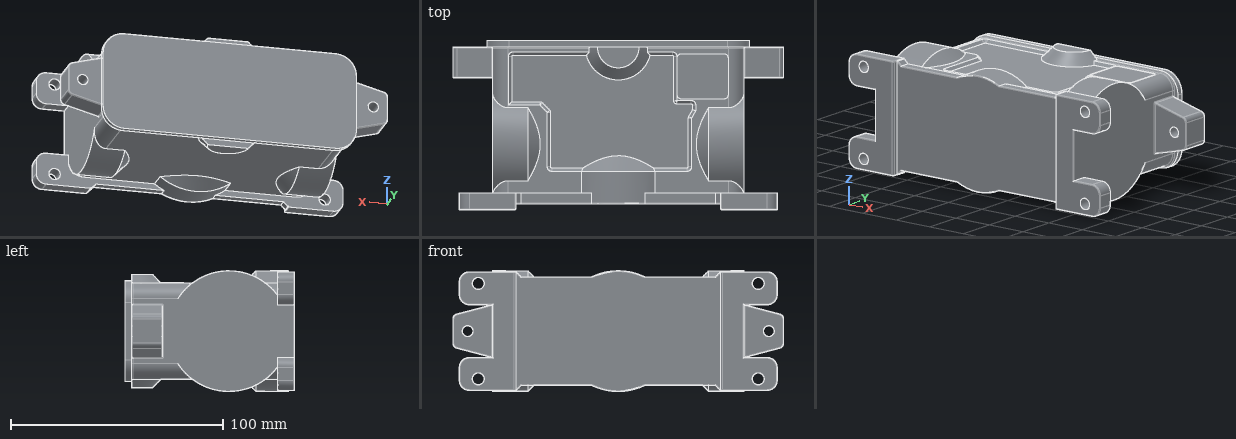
import cadquery as cq

FOOT_Y = -40.0
PLATE_Y = -37.2
BASE_TOP_Y = -32.0
FLANGE_BOTTOM_Y = 36.8
FLANGE_TOP_Y = 40.0

BODY_HALF_X = 59.3
BODY_HALF_Z = 22.7
BODY_CORNER_R = 7.4

FLANGE_HALF_X = 61.9
FLANGE_HALF_Z = 23.8
FLANGE_CORNER_R = 10.3
FLANGE_ROOT_R = 0.7

ENTRY_R = 28.5
ENTRY_CHAMFER = 7.5
SIDE_ENTRY_Y = -9.0
SIDE_ENTRY_INNER_X = 42.6
BASE_ENTRY_TOP_Y = -21.8

PLATE_HALF_X = 48.2
PLATE_HALF_Z = 25.6
BASE_EDGE_R = 0.4

FOOT_HALF_X = 75.0
FOOT_HALF_Z = 28.0
FOOT_SLOT_HALF_Z = 12.4
FOOT_CORNER_R = 4.8
FOOT_HOLE_D = 5.5
FOOT_HOLE_X = 66.0
FOOT_HOLE_Z = 22.5
FOOT_STEP_R = 0.9

LUG_HALF_X = 78.0
LUG_BOTTOM_Y = 22.3
LUG_ROOT_HALF_Z = 12.5
LUG_ROOT_R = 0.5
LUG_TIP_HALF_Z = 7.6
LUG_TIP_R = 2.5
LUG_EDGE_R = 0.4
LUG_HOLE_D = 5.0
LUG_HOLE_X = 71.0

BOSS_TOP_R = 9.8
BOSS_TOP_Z = 26.8
BOSS_Y = FLANGE_BOTTOM_Y

PANEL_DEPTH = 1.6
PANEL_WALL_ANGLE = 45
PANEL_CORNER_R = 2.2
PANEL_LEFT_X = -51.8
PANEL_STEP_LEFT_X = -33.5
PANEL_STEP_LEFT_Y = 9.4
PANEL_STEP_CHAMFER = 3.4
PANEL_BOTTOM_Y = BASE_ENTRY_TOP_Y
PANEL_TOP_Y = 34.5
PANEL_RIGHT_X = 27.7
PANEL_LOWER_RIGHT_X = 34.6
PANEL_JOG_X = 36.6
PANEL_JOG_TOP_Y = 11.6
PANEL_JOG_LOW_Y = 6.8
PANEL_JOG_END_Y = 3.3

PAD_LEFT_X = PANEL_RIGHT_X
PAD_RIGHT_X = 51.9
PAD_BOTTOM_Y = 12.4
PAD_TOP_Y = 33.6
PAD_HEIGHT = 0.2
PAD_CORNER_R = 2.0


def plan(y):
    """Sketch plane at height y whose local axes are X and Z, extruding toward +Y."""
    return cq.Workplane(cq.Plane(origin=(0, y, 0), xDir=(1, 0, 0), normal=(0, 1, 0)))


def block(half_x, half_z, y_low, y_high):
    """Block centred on the Y axis between two levels."""
    return plan(y_low).rect(2 * half_x, 2 * half_z).extrude(y_high - y_low)


def both_ends(shape):
    """The shape together with its mirror image at the -X end."""
    return shape.union(shape.mirror("YZ"))


def make_body():
    body = block(BODY_HALF_X, BODY_HALF_Z, BASE_TOP_Y, FLANGE_BOTTOM_Y)
    body = body.edges("|Y").fillet(BODY_CORNER_R)
    flange = block(FLANGE_HALF_X, FLANGE_HALF_Z, FLANGE_BOTTOM_Y, FLANGE_TOP_Y)
    flange = flange.edges("|Y").fillet(FLANGE_CORNER_R)
    root_edge = cq.selectors.NearestToPointSelector((0, FLANGE_BOTTOM_Y, BODY_HALF_Z))
    return body.union(flange).edges(root_edge).fillet(FLANGE_ROOT_R)


def make_side_entries():
    """Discs with X axes that fill the body ends and finish in a cone, trimmed above the base."""
    depth = BODY_HALF_X - SIDE_ENTRY_INNER_X + ENTRY_CHAMFER
    disc = (
        cq.Workplane("YZ", origin=(BODY_HALF_X - depth, SIDE_ENTRY_Y, 0))
        .circle(ENTRY_R)
        .extrude(depth)
        .faces("<X")
        .chamfer(ENTRY_CHAMFER)
    )
    above_base = block(BODY_HALF_X, ENTRY_R, BASE_TOP_Y, FLANGE_BOTTOM_Y)
    return both_ends(disc.intersect(above_base))


def make_base_entry():
    """Cylinder along Y rising from the base plate and finishing in a cone."""
    height = BASE_ENTRY_TOP_Y - PLATE_Y + ENTRY_CHAMFER
    entry = plan(PLATE_Y).circle(ENTRY_R).extrude(height).faces(">Y").chamfer(ENTRY_CHAMFER)
    return entry.faces("<Y").edges().fillet(BASE_EDGE_R)


def make_base():
    """Base plate whose ends flare at 45 degrees to the width of the feet."""
    flare_x = PLATE_HALF_X - (FOOT_HALF_Z - PLATE_HALF_Z)
    outline = [
        (PLATE_HALF_X, FOOT_HALF_Z),
        (flare_x, PLATE_HALF_Z),
        (-flare_x, PLATE_HALF_Z),
        (-PLATE_HALF_X, FOOT_HALF_Z),
        (-PLATE_HALF_X, -FOOT_HALF_Z),
        (-flare_x, -PLATE_HALF_Z),
        (flare_x, -PLATE_HALF_Z),
        (PLATE_HALF_X, -FOOT_HALF_Z),
    ]
    plate = plan(PLATE_Y).polyline(outline).close().extrude(BASE_TOP_Y - PLATE_Y)
    return plate.faces("<Y").edges("not |Z").fillet(BASE_EDGE_R)


def make_foot_pair():
    """C-shaped foot block at the +X end: two drilled ears around an open slot."""
    foot_height = BASE_TOP_Y - FOOT_Y
    foot = (
        plan(FOOT_Y)
        .center((PLATE_HALF_X + FOOT_HALF_X) / 2, 0)
        .rect(FOOT_HALF_X - PLATE_HALF_X, 2 * FOOT_HALF_Z)
        .extrude(foot_height)
    )
    slot = (
        plan(FOOT_Y)
        .center((BODY_HALF_X + FOOT_HALF_X) / 2, 0)
        .rect(FOOT_HALF_X - BODY_HALF_X, 2 * FOOT_SLOT_HALF_Z)
        .extrude(foot_height)
    )
    foot = foot.cut(slot).edges("|Y and >X").fillet(FOOT_CORNER_R)
    foot = foot.faces("<Y").edges("<X").fillet(FOOT_STEP_R)
    foot = foot.faces("<Y").edges("not <X").fillet(BASE_EDGE_R)
    holes = (
        plan(FOOT_Y)
        .pushPoints([(FOOT_HOLE_X, FOOT_HOLE_Z), (FOOT_HOLE_X, -FOOT_HOLE_Z)])
        .circle(FOOT_HOLE_D / 2)
        .extrude(foot_height)
    )
    return foot.cut(holes)


def make_lug():
    """Tapered, drilled lug at the +X end, just below the flange."""
    height = FLANGE_BOTTOM_Y - LUG_BOTTOM_Y
    lug = (
        plan(LUG_BOTTOM_Y)
        .moveTo(BODY_HALF_X, LUG_ROOT_HALF_Z)
        .lineTo(LUG_HALF_X, LUG_TIP_HALF_Z)
        .lineTo(LUG_HALF_X, -LUG_TIP_HALF_Z)
        .lineTo(BODY_HALF_X, -LUG_ROOT_HALF_Z)
        .close()
        .extrude(height)
        .edges("|Y and >X")
        .fillet(LUG_TIP_R)
    )
    lug = lug.faces("<Y or >Y").edges("not <X").fillet(LUG_EDGE_R)
    slice_half_z = LUG_ROOT_HALF_Z + 2 * LUG_ROOT_R
    body_slice = (
        plan(LUG_BOTTOM_Y - 2 * LUG_ROOT_R)
        .center(BODY_HALF_X - LUG_ROOT_R, 0)
        .rect(2 * LUG_ROOT_R, 2 * slice_half_z)
        .extrude(height + 4 * LUG_ROOT_R)
    )
    root_edges = cq.selectors.BoxSelector(
        (BODY_HALF_X - LUG_ROOT_R / 2, LUG_BOTTOM_Y - LUG_ROOT_R, -LUG_ROOT_HALF_Z - LUG_ROOT_R / 2),
        (BODY_HALF_X + LUG_ROOT_R / 2, FLANGE_BOTTOM_Y + LUG_ROOT_R, LUG_ROOT_HALF_Z + LUG_ROOT_R / 2),
    )
    lug = lug.union(body_slice).edges(root_edges).fillet(LUG_ROOT_R)
    hole = plan(LUG_BOTTOM_Y).center(LUG_HOLE_X, 0).circle(LUG_HOLE_D / 2).extrude(height)
    return lug.cut(hole)


def make_bosses():
    """Half cones with 45 degree flanks on both broad faces, cut off at the flange."""
    root_r = BOSS_TOP_R + BOSS_TOP_Z
    cone = cq.Workplane(cq.Solid.makeCone(root_r, BOSS_TOP_R, BOSS_TOP_Z, pnt=cq.Vector(0, BOSS_Y, 0)))
    panel_floor_z = BODY_HALF_Z - PANEL_DEPTH
    keep_height = BOSS_TOP_Z - panel_floor_z
    keep = (
        cq.Workplane("XY", origin=(0, BOSS_Y - root_r / 2, panel_floor_z))
        .rect(2 * root_r, root_r)
        .extrude(keep_height)
    )
    boss = cone.intersect(keep)
    return boss.union(boss.mirror("XY"))


def make_panel_recess():
    outline = [
        (PANEL_LEFT_X, PANEL_TOP_Y),
        (PANEL_LEFT_X, PANEL_STEP_LEFT_Y),
        (PANEL_STEP_LEFT_X - PANEL_STEP_CHAMFER, PANEL_STEP_LEFT_Y),
        (PANEL_STEP_LEFT_X, PANEL_STEP_LEFT_Y - PANEL_STEP_CHAMFER),
        (PANEL_STEP_LEFT_X, PANEL_BOTTOM_Y),
        (PANEL_LOWER_RIGHT_X, PANEL_BOTTOM_Y),
        (PANEL_LOWER_RIGHT_X, PANEL_JOG_END_Y),
        (PANEL_JOG_X, PANEL_JOG_LOW_Y),
        (PANEL_JOG_X, PANEL_JOG_TOP_Y),
        (PANEL_RIGHT_X, PANEL_JOG_TOP_Y),
        (PANEL_RIGHT_X, PANEL_TOP_Y),
    ]
    rounded_corners = [
        (PANEL_LEFT_X, PANEL_TOP_Y),
        (PANEL_STEP_LEFT_X, PANEL_BOTTOM_Y),
        (PANEL_LOWER_RIGHT_X, PANEL_BOTTOM_Y),
        (PANEL_JOG_X, PANEL_JOG_TOP_Y),
        (PANEL_RIGHT_X, PANEL_TOP_Y),
    ]
    floor_z = BODY_HALF_Z - PANEL_DEPTH
    recess = cq.Workplane("XY", origin=(0, 0, floor_z)).polyline(outline).close().extrude(PANEL_DEPTH)
    for x, y in rounded_corners:
        corner = cq.selectors.NearestToPointSelector((x, y, floor_z + PANEL_DEPTH / 2))
        recess = recess.edges("|Z").edges(corner).fillet(PANEL_CORNER_R)
    mouth = recess.faces(">Z").wires().toPending()
    return mouth.workplane().extrude(-PANEL_DEPTH, taper=PANEL_WALL_ANGLE, combine=False)


def make_label_pad():
    return (
        cq.Workplane("XY", origin=(0, 0, BODY_HALF_Z))
        .center((PAD_LEFT_X + PAD_RIGHT_X) / 2, (PAD_BOTTOM_Y + PAD_TOP_Y) / 2)
        .rect(PAD_RIGHT_X - PAD_LEFT_X, PAD_TOP_Y - PAD_BOTTOM_Y)
        .extrude(PAD_HEIGHT)
        .edges("|Z")
        .fillet(PAD_CORNER_R)
    )


result = make_body().union(make_side_entries()).cut(make_panel_recess())
result = result.union(make_base())
result = result.union(make_base_entry())
result = result.union(both_ends(make_foot_pair()))
result = result.union(both_ends(make_lug()))
result = result.union(make_bosses())
result = result.union(make_label_pad())